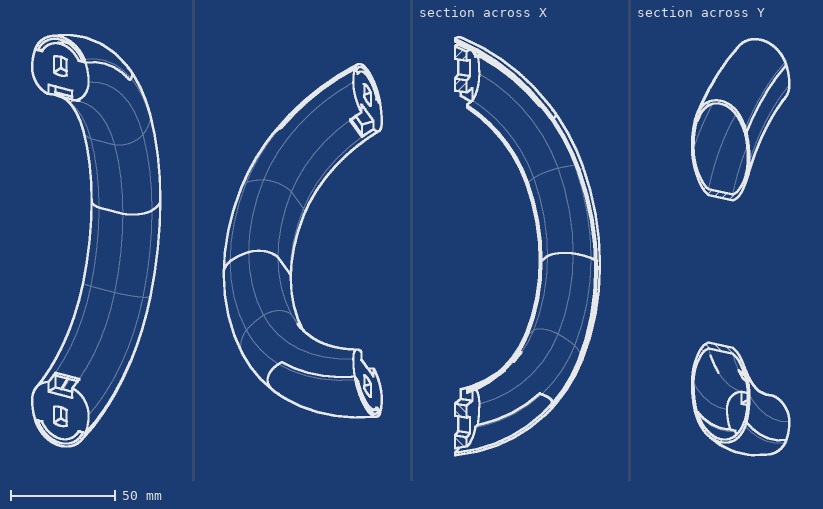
import cadquery as cq
import math

HALF_SPAN = 106.8
BOW_HEIGHT = 74.5

MIDDLE_RADIUS = 137.8
MIDDLE_ANGLE = math.radians(21)
MIDDLE_CENTRE_Y = BOW_HEIGHT - MIDDLE_RADIUS
CENTRE_SHIFT = (HALF_SPAN**2 + MIDDLE_CENTRE_Y**2 - MIDDLE_RADIUS**2) / 2 / (
    HALF_SPAN * math.sin(MIDDLE_ANGLE) - MIDDLE_CENTRE_Y * math.cos(MIDDLE_ANGLE) - MIDDLE_RADIUS
)
END_RADIUS = MIDDLE_RADIUS - CENTRE_SHIFT
END_CENTRE_Y = MIDDLE_CENTRE_Y + CENTRE_SHIFT * math.cos(MIDDLE_ANGLE)
END_CENTRE_Z = CENTRE_SHIFT * math.sin(MIDDLE_ANGLE)
END_ANGLE = math.radians(90)

HALF_WIDTH = 16.2
WIDEST_DEPTH = 19.2
CROWN_HALF_WIDTH = 13.9
CROWN_DEPTH = 8.3
FLAT_HALF_WIDTH = 6.8
FLAT_DEPTH = 30.3
WALL = 1.3

COVER_DEPTH = 9.8
COVER_WALL = 1.5
COVER_START_Z = 73.7

END_WALL = 6.2
TONGUE_GAP = 2.1
NOTCH_TOP_Z = 80.1
KEYHOLE_Z = 91.5
KEYHOLE_HALF_WIDTH = 3.6
KEYHOLE_HALF_HEIGHT = 5.0
KEYHOLE_HALF_SIDE = 4.0

CLEAR = 2 * HALF_SPAN


def block(start_y, start_z, end_y=CLEAR, end_z=CLEAR, width=CLEAR):
    """Block centred on X that spans the given ranges of Y and Z."""
    return (
        cq.Workplane("XY")
        .box(width, end_y - start_y, end_z - start_z, centered=(True, False, False))
        .translate((0, start_y, start_z))
    )


def crown_line():
    """Crown line from the middle seam to a point past the end face."""

    def middle_point(angle):
        return (MIDDLE_CENTRE_Y + MIDDLE_RADIUS * math.cos(angle), MIDDLE_RADIUS * math.sin(angle))

    def end_point(angle):
        return (END_CENTRE_Y + END_RADIUS * math.cos(angle), END_CENTRE_Z + END_RADIUS * math.sin(angle))

    return (
        cq.Workplane("YZ")
        .moveTo(*middle_point(0))
        .threePointArc(middle_point(MIDDLE_ANGLE / 2), middle_point(MIDDLE_ANGLE))
        .threePointArc(end_point((MIDDLE_ANGLE + END_ANGLE) / 2), end_point(END_ANGLE))
    )


def bow(section, start_y=0.0):
    """Upper half of the bow with the given section, cut off square at start_y."""
    return section.sweep(crown_line()).intersect(block(start_y, 0))


def arc_radius(sagitta, run):
    """Radius of an arc that leaves its tangent by sagitta over the given run."""
    return (sagitta**2 + run**2) / (2 * sagitta)


def grip_section(inset=0.0):
    """Cross-section at the middle seam, moved inwards by inset."""
    crown_radius = arc_radius(CROWN_DEPTH, CROWN_HALF_WIDTH)
    side_radius = arc_radius(HALF_WIDTH - CROWN_HALF_WIDTH, WIDEST_DEPTH - CROWN_DEPTH)
    corner_radius = arc_radius(HALF_WIDTH - FLAT_HALF_WIDTH, FLAT_DEPTH - WIDEST_DEPTH)
    shoulder_y = BOW_HEIGHT - CROWN_DEPTH
    widest_y = BOW_HEIGHT - WIDEST_DEPTH
    flat_y = BOW_HEIGHT - FLAT_DEPTH
    section = (
        cq.Workplane("XY")
        .moveTo(-CROWN_HALF_WIDTH, shoulder_y)
        .radiusArc((CROWN_HALF_WIDTH, shoulder_y), crown_radius)
        .radiusArc((HALF_WIDTH, widest_y), side_radius)
        .radiusArc((FLAT_HALF_WIDTH, flat_y), corner_radius)
        .lineTo(-FLAT_HALF_WIDTH, flat_y)
        .radiusArc((-HALF_WIDTH, widest_y), corner_radius)
        .radiusArc((-CROWN_HALF_WIDTH, shoulder_y), side_radius)
        .close()
    )
    return section.offset2D(-inset) if inset else section


def cover_zone():
    """Space above the cover's ledge, from the joint to the end face."""
    section = cq.Workplane("XY").center(0, BOW_HEIGHT).rect(4 * HALF_WIDTH, 2 * COVER_DEPTH)
    return bow(section).intersect(block(0, COVER_START_Z))


def keyhole():
    """Upright hole with straight sides and bowed ends through the end wall."""
    low_z = KEYHOLE_Z - KEYHOLE_HALF_SIDE
    high_z = KEYHOLE_Z + KEYHOLE_HALF_SIDE
    return (
        cq.Workplane("XZ")
        .moveTo(-KEYHOLE_HALF_WIDTH, low_z)
        .threePointArc((0, KEYHOLE_Z - KEYHOLE_HALF_HEIGHT), (KEYHOLE_HALF_WIDTH, low_z))
        .lineTo(KEYHOLE_HALF_WIDTH, high_z)
        .threePointArc((0, KEYHOLE_Z + KEYHOLE_HALF_HEIGHT), (-KEYHOLE_HALF_WIDTH, high_z))
        .close()
        .extrude(-END_WALL)
    )


def handle_half():
    """Upper half of the handle: a hollow bow with a pierced end wall, open under the cover."""
    shell = bow(grip_section()).cut(cover_zone()).cut(bow(grip_section(WALL), END_WALL))
    end_slab = block(0, 0, end_y=END_WALL)
    tongue = bow(grip_section(COVER_WALL + TONGUE_GAP)).intersect(cover_zone()).intersect(end_slab)
    notch = block(0, 0, end_y=END_WALL, end_z=NOTCH_TOP_Z, width=2 * FLAT_HALF_WIDTH)
    return shell.union(tongue).cut(notch).cut(keyhole())


def end_cover():
    """Upper cover: a thin curved shell that continues the crown to the end face."""
    shell = bow(grip_section()).cut(bow(grip_section(COVER_WALL)))
    return shell.intersect(cover_zone())


def mirrored_pair(upper_body):
    """Upper body and its mirror image below the middle seam, as two solids."""
    return [body.solids().val() for body in (upper_body, upper_body.mirror("XY"))]


halves = mirrored_pair(handle_half())
covers = mirrored_pair(end_cover())

result = cq.Compound.makeCompound([*halves, *covers])